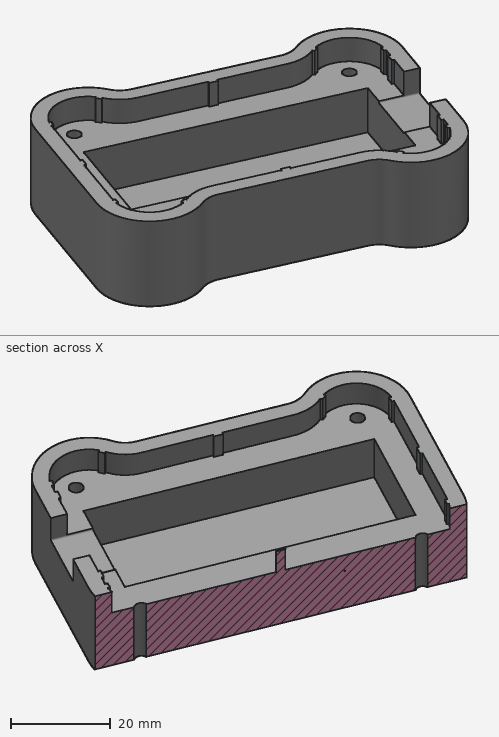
import cadquery as cq
import math

LENGTH = 80.0
HEIGHT = 20.0
HALF_LENGTH = LENGTH / 2
WAIST_HALF_WIDTH = 22.0

LOBE_RADIUS = 11.5
LOBE_X = 15.5
LOBE_Y = HALF_LENGTH - LOBE_RADIUS
NECK_RADIUS = 6.0
NECK_X = WAIST_HALF_WIDTH + NECK_RADIUS
NECK_ANGLE = -math.acos((NECK_X - LOBE_X) / (LOBE_RADIUS + NECK_RADIUS))
NECK_Y = LOBE_Y + (LOBE_RADIUS + NECK_RADIUS) * math.sin(NECK_ANGLE)
LOBE_END_ANGLE = math.pi / 2

WALL = 3.5
LEDGE_Z = 14.4
RECESS_DEPTH = HEIGHT - LEDGE_Z
RECESS_LOBE_RADIUS = LOBE_RADIUS - WALL

POCKET_WIDTH = 24.0
POCKET_LENGTH = 62.0
POCKET_FLOOR_Z = 4.0

HOLE_DIAMETER = 3.0
HOLE_X = 19.0
HOLE_Y = 30.0

OPENING_WIDTH = 13.0
OPENING_FLOOR_Z = 14.0
OPENING_CORNER_RADIUS = LEDGE_Z - OPENING_FLOOR_Z

RIB_DEPTH = 0.5
RIB_ROOT = 0.5
RIB_WIDTH = 2.0
OPENING_RIB_X = 12.5
LOBE_RIB_SWEEP = math.radians(10)


def lobe_point(radius, angle):
    """Point on a circle about the centre of the +X +Y lobe."""
    return (LOBE_X + radius * math.cos(angle), LOBE_Y + radius * math.sin(angle))


def mirror_to_quarters(quarter):
    """Repeat a +X +Y quarter in the other three quarters."""
    half = quarter.union(quarter.mirror("YZ"))
    return half.union(half.mirror("XZ")).clean()


def waisted_prism(inset, bottom_z, top_z):
    """Waisted outline with four lobes, moved inwards by `inset`."""
    waist = WAIST_HALF_WIDTH - inset
    lobe = LOBE_RADIUS - inset
    neck = NECK_RADIUS + inset
    quarter = (
        cq.Workplane("XY", origin=(0, 0, bottom_z))
        .lineTo(waist, 0)
        .lineTo(waist, NECK_Y)
        .radiusArc(lobe_point(lobe, NECK_ANGLE), neck)
        .threePointArc(lobe_point(lobe, 0), lobe_point(lobe, LOBE_END_ANGLE))
        .lineTo(0, LOBE_Y + lobe)
        .close()
        .extrude(top_z - bottom_z)
    )
    return mirror_to_quarters(quarter)


def pocket():
    return (
        cq.Workplane("XY", origin=(0, 0, POCKET_FLOOR_Z))
        .rect(POCKET_WIDTH, POCKET_LENGTH)
        .extrude(HEIGHT - POCKET_FLOOR_Z)
    )


def screw_holes():
    return (
        cq.Workplane("XY")
        .rect(2 * HOLE_X, 2 * HOLE_Y, forConstruction=True)
        .vertices()
        .circle(HOLE_DIAMETER / 2)
        .extrude(HEIGHT)
    )


def connector_opening():
    """Slot from the pocket out through the +Y wall, with rounded floor corners."""
    return (
        cq.Workplane("XY", origin=(0, HALF_LENGTH / 2, OPENING_FLOOR_Z))
        .rect(OPENING_WIDTH, HALF_LENGTH)
        .extrude(HEIGHT - OPENING_FLOOR_Z)
        .edges("|Y and <Z")
        .fillet(OPENING_CORNER_RADIUS)
    )


def straight_ribs():
    """Ribs on the flat walls: mid-side, mid-end at -Y, and beside the opening."""
    thickness = RIB_DEPTH + RIB_ROOT
    centre_offset = (RIB_ROOT - RIB_DEPTH) / 2
    side_x = WAIST_HALF_WIDTH - WALL + centre_offset
    end_y = HALF_LENGTH - WALL + centre_offset
    ledge = cq.Workplane("XY", origin=(0, 0, LEDGE_Z))
    side_ribs = (
        ledge.pushPoints([(-side_x, 0), (side_x, 0)])
        .rect(thickness, RIB_WIDTH)
        .extrude(RECESS_DEPTH)
    )
    end_ribs = (
        ledge.pushPoints([(0, -end_y), (-OPENING_RIB_X, end_y), (OPENING_RIB_X, end_y)])
        .rect(RIB_WIDTH, thickness)
        .extrude(RECESS_DEPTH)
    )
    return side_ribs.union(end_ribs)


def lobe_rib(start_angle):
    """Curved rib following the recess wall of one lobe."""
    inner = RECESS_LOBE_RADIUS - RIB_DEPTH
    outer = RECESS_LOBE_RADIUS + RIB_ROOT
    middle_angle = start_angle + LOBE_RIB_SWEEP / 2
    end_angle = start_angle + LOBE_RIB_SWEEP
    return (
        cq.Workplane("XY", origin=(0, 0, LEDGE_Z))
        .moveTo(*lobe_point(inner, start_angle))
        .lineTo(*lobe_point(outer, start_angle))
        .threePointArc(lobe_point(outer, middle_angle), lobe_point(outer, end_angle))
        .lineTo(*lobe_point(inner, end_angle))
        .threePointArc(lobe_point(inner, middle_angle), lobe_point(inner, start_angle))
        .close()
        .extrude(RECESS_DEPTH)
    )


def lobe_ribs():
    """A rib at both ends of each lobe's arc, swept into the arc."""
    neck_rib = lobe_rib(NECK_ANGLE)
    end_rib = lobe_rib(LOBE_END_ANGLE - LOBE_RIB_SWEEP)
    return mirror_to_quarters(neck_rib.union(end_rib))


result = (
    waisted_prism(0, 0, HEIGHT)
    .cut(waisted_prism(WALL, LEDGE_Z, HEIGHT))
    .union(straight_ribs())
    .union(lobe_ribs())
    .cut(pocket())
    .cut(screw_holes())
    .cut(connector_opening())
)